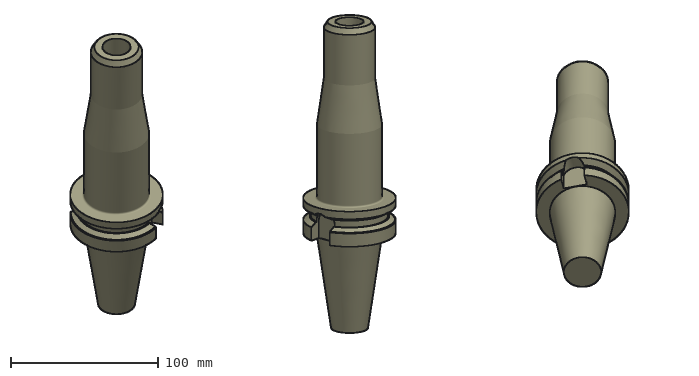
import cadquery as cq
import math


gauge_diameter = 44.45
taper_length = 65.4
taper_ratio = 7 / 24
shank_end_diameter = gauge_diameter - taper_length * taper_ratio

flange_diameter = 63.0
flange_bottom = 2.0
flange_top = 27.0
groove_center = 16.6
groove_width = 10.0
groove_root_diameter = 52.4
groove_root_ledge = 0.9
groove_flank_angle = 30.0
rim_step_width = 0.5
rim_step_depth = 0.3

slot_width = 16.1
slot_height = 21.0
slot_floor_distance = 22.6

nose_top = 152.4
body_diameter = 44.45
nose_diameter = 35.0
nose_length = 40.0
cone_length = 33.0
fillet_radius = 1.25
nose_chamfer_width = 2.5
nose_chamfer_length = 4.0

bore_diameter = 19.05
bore_depth = nose_length


def make_turned_body():
    """Revolve the outer half profile of the whole holder about Z."""
    gauge_radius = gauge_diameter / 2
    flange_radius = flange_diameter / 2
    body_radius = body_diameter / 2
    nose_radius = nose_diameter / 2
    groove_root_radius = groove_root_diameter / 2

    flank_foot_radius = groove_root_radius + groove_root_ledge
    flank_rise = (flange_radius - flank_foot_radius) * math.tan(math.radians(groove_flank_angle))
    groove_bottom = groove_center - groove_width / 2
    groove_top = groove_center + groove_width / 2
    nose_bottom = nose_top - nose_length

    fillet_inset = fillet_radius * (1 - math.sqrt(0.5))
    fillet_middle = (body_radius + fillet_inset, flange_top + fillet_inset)

    profile = (
        cq.Workplane("XZ")
        .moveTo(0, -taper_length)
        .lineTo(shank_end_diameter / 2, -taper_length)
        .lineTo(gauge_radius, 0)
        .lineTo(gauge_radius, flange_bottom)
        .lineTo(flange_radius, flange_bottom)
        .lineTo(flange_radius, groove_bottom)
        .lineTo(flank_foot_radius, groove_bottom + flank_rise)
        .lineTo(groove_root_radius, groove_bottom + flank_rise)
        .lineTo(groove_root_radius, groove_top - flank_rise)
        .lineTo(flank_foot_radius, groove_top - flank_rise)
        .lineTo(flange_radius, groove_top)
        .lineTo(flange_radius, flange_top)
        .lineTo(body_radius + fillet_radius, flange_top)
        .threePointArc(fillet_middle, (body_radius, flange_top + fillet_radius))
        .lineTo(body_radius, nose_bottom - cone_length)
        .lineTo(nose_radius, nose_bottom)
        .lineTo(nose_radius, nose_top - nose_chamfer_length)
        .lineTo(nose_radius - nose_chamfer_width, nose_top)
        .lineTo(0, nose_top)
        .close()
    )
    return profile.revolve(360, (0, 0, 0), (0, 1, 0))


def make_bore():
    """Blind cylindrical tool bore, open at the nose."""
    return cq.Workplane("XY").workplane(offset=nose_top).circle(bore_diameter / 2).extrude(-bore_depth)


def make_drive_slot(side):
    """Arched slot cutter, open at the rim and bottom of the flange; side is +1 or -1 along X."""
    half_width = slot_width / 2
    crown = flange_bottom + slot_height
    spring_line = crown - half_width
    slot_depth = flange_diameter / 2 - slot_floor_distance
    return (
        cq.Workplane("YZ")
        .workplane(offset=side * slot_floor_distance)
        .moveTo(-half_width, flange_bottom)
        .lineTo(half_width, flange_bottom)
        .lineTo(half_width, spring_line)
        .threePointArc((0, crown), (-half_width, spring_line))
        .close()
        .extrude(side * slot_depth)
    )


def make_rim_step():
    """Half-ring cutter on the -Y side, lowering the outer edge of the lower groove flank."""
    flange_radius = flange_diameter / 2
    floor = groove_center - groove_width / 2 - rim_step_depth
    half_turn = 180
    return (
        cq.Workplane("XZ")
        .moveTo(flange_radius - rim_step_width, floor)
        .lineTo(flange_radius, floor)
        .lineTo(flange_radius, groove_center)
        .lineTo(flange_radius - rim_step_width, groove_center)
        .close()
        .revolve(half_turn, (0, 0, 0), (0, -1, 0))
    )


result = make_turned_body().cut(make_bore()).cut(make_rim_step())
for side in (-1, 1):
    result = result.cut(make_drive_slot(side))